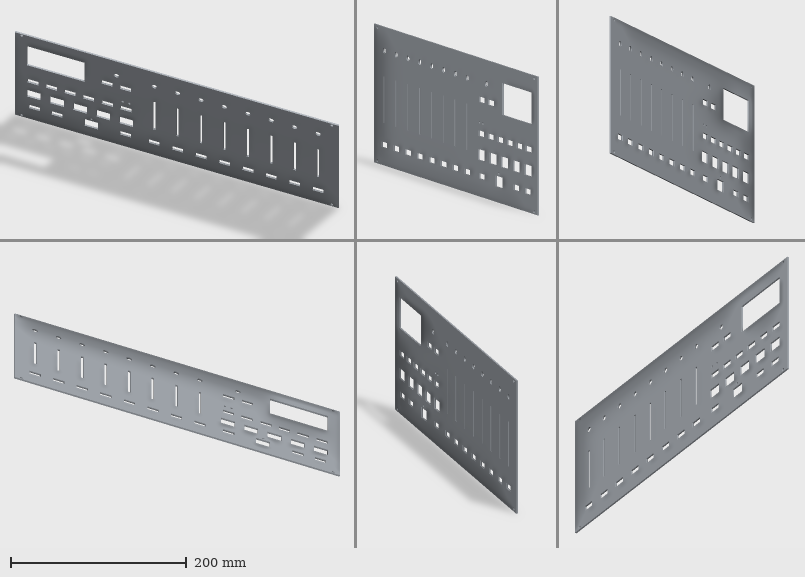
import cadquery as cq

PLATE_WIDTH = 391.16
PLATE_HEIGHT = 160.0
PLATE_THICKNESS = 2.0

MOUNT_DIAMETER = 3.5
MOUNT_SIDE_MARGIN = 8.25
MOUNT_EDGE_MARGIN = 3.0


CHANNEL_COUNT = 8
CHANNEL_PITCH = 28.28
FIRST_CHANNEL_X = 168.3
POT_DIAMETER = 6.5
POT_Z = 132.6
SLOT_WIDTH = 2.8
SLOT_HEIGHT = 53.8
SLOT_Z = 76.0

BUTTON_WIDTH = 13.4
BUTTON_HEIGHT = 6.6
BUTTON_PITCH = 22.48
LOWER_BUTTON_Z = 23.75
LOWER_LEFT_BUTTON_XS = (23.5, 50.7, 133.85)

DISPLAY_WIDTH = 70.0
DISPLAY_HEIGHT = 37.0
DISPLAY_X = 49.5
DISPLAY_Z = 121.2

ENCODER_X = 122.55
UPPER_BUTTON_XS = (ENCODER_X - BUTTON_PITCH / 2, ENCODER_X + BUTTON_PITCH / 2)
UPPER_BUTTON_Z = 112.3

MIDDLE_BUTTON_COUNT = 6
FIRST_MIDDLE_BUTTON_X = 21.75
MIDDLE_BUTTON_Z = 73.0

KEY_WIDTH = 16.55
KEY_HEIGHT = 12.7
KEY_COUNT = 5
KEY_PITCH = 27.9
FIRST_KEY_X = 23.05
KEY_ROW_Z = 48.35
LOWER_KEY_X = 92.5
LOWER_KEY_Z = 24.0

LAMP_DIAMETER = 3.0
LAMP_PAIR_XS = (130.35, 138.3)
LAMP_PAIR_Z = 85.75
LOWER_LAMP_Z = 34.0


def row(first_x, pitch, count, z):
    """Evenly spaced positions along X at one height."""
    return [(first_x + i * pitch, z) for i in range(count)]


def at_height(xs, z):
    """Positions at the given X values and one height."""
    return [(x, z) for x in xs]


def from_corner(positions):
    """Sketch on the back face with its positions counted from the lower left corner."""
    plane = cq.Workplane("XZ", origin=(-PLATE_WIDTH / 2, PLATE_THICKNESS / 2, -PLATE_HEIGHT / 2))
    return plane.pushPoints(positions)


def windows(positions, width, height):
    """Rectangular cutters through the plate thickness."""
    return from_corner(positions).rect(width, height).extrude(PLATE_THICKNESS)


def holes(positions, diameter):
    """Round cutters through the plate thickness."""
    return from_corner(positions).circle(diameter / 2).extrude(PLATE_THICKNESS)


def mount_positions():
    """One mounting hole near each corner."""
    xs = (MOUNT_SIDE_MARGIN, PLATE_WIDTH - MOUNT_SIDE_MARGIN)
    zs = (MOUNT_EDGE_MARGIN, PLATE_HEIGHT - MOUNT_EDGE_MARGIN)
    return [(x, z) for x in xs for z in zs]


def channel_row(z):
    """One position in each fader channel at one height."""
    return row(FIRST_CHANNEL_X, CHANNEL_PITCH, CHANNEL_COUNT, z)


pot_positions = channel_row(POT_Z) + [(ENCODER_X, POT_Z)]

button_positions = (
    channel_row(LOWER_BUTTON_Z)
    + at_height(LOWER_LEFT_BUTTON_XS, LOWER_BUTTON_Z)
    + at_height(UPPER_BUTTON_XS, UPPER_BUTTON_Z)
    + row(FIRST_MIDDLE_BUTTON_X, BUTTON_PITCH, MIDDLE_BUTTON_COUNT, MIDDLE_BUTTON_Z)
)

key_positions = row(FIRST_KEY_X, KEY_PITCH, KEY_COUNT, KEY_ROW_Z) + [(LOWER_KEY_X, LOWER_KEY_Z)]

lamp_positions = at_height(LAMP_PAIR_XS, LAMP_PAIR_Z) + [(LOWER_KEY_X, LOWER_LAMP_Z)]

plate = cq.Workplane("XY").box(PLATE_WIDTH, PLATE_THICKNESS, PLATE_HEIGHT)

result = (
    plate.cut(holes(mount_positions(), MOUNT_DIAMETER))
    .cut(holes(pot_positions, POT_DIAMETER))
    .cut(holes(lamp_positions, LAMP_DIAMETER))
    .cut(windows(channel_row(SLOT_Z), SLOT_WIDTH, SLOT_HEIGHT))
    .cut(windows(button_positions, BUTTON_WIDTH, BUTTON_HEIGHT))
    .cut(windows(key_positions, KEY_WIDTH, KEY_HEIGHT))
    .cut(windows([(DISPLAY_X, DISPLAY_Z)], DISPLAY_WIDTH, DISPLAY_HEIGHT))
)